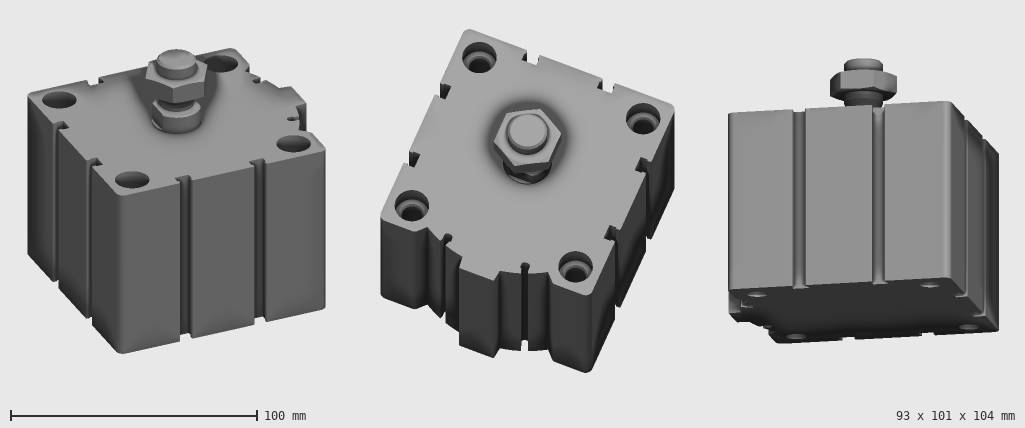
import cadquery as cq
import math


TOTAL_HEIGHT = 104.0
BODY_HEIGHT = 74.0
BODY_WIDTH = 93.0
HALF_WIDTH = BODY_WIDTH / 2
CORNER_RADIUS = 3.0

ARCH_RADIUS = 50.0
RIB_TOP_Y = 54.5
RIB_TOP_WIDTH = 15.2
RIB_BASE_WIDTH = 16.4
NOTCH_BOTTOM_X = 26.5
NOTCH_SHOULDER_X = 30.4
SHOULDER_RADIUS = 2.0

GROOVE_OUTER_X = 18.8
GROOVE_INNER_X = 15.2
GROOVE_FLOOR_Y = 41.9
GROOVE_LIP_X = 15.8
GROOVE_LIP_Y = 44.9
GROOVE_NECK_LEAN = 18.0
GROOVE_FLOOR_RADIUS = 1.4

SLOT_OFFSET = 16.5
SLOT_NECK_WIDTH = 5.3
SLOT_MOUTH_CHAMFER = 0.3
SLOT_INNER_WIDTH = 6.5
SLOT_DEPTH = 4.9
SLOT_LIP = 1.8

HOLE_SPACING = 72.0
HOLE_DIAMETER = 8.5
HOLE_MOUTH_DIAMETER = 10.0
COUNTERBORE_DIAMETER = 14.0
COUNTERBORE_DEPTH = 8.9

ROD_LENGTH = TOTAL_HEIGHT - BODY_HEIGHT
COLLAR_DIAMETER = 20.0
COLLAR_HEIGHT = 8.0
COLLAR_CHAMFER = 0.4
FLATS_WIDTH = 17.0
FLATS_BOTTOM = 0.8
THREAD_DIAMETER = 16.0
THREAD_BOTTOM = 13.0
THREAD_CHAMFER = 0.9
RELIEF_DIAMETER = 13.9
RELIEF_TOP = 10.2
RELIEF_BOTTOM = 8.6

NUT_FLATS = 24.0
NUT_HEIGHT = 8.0
NUT_BOTTOM = 16.0
NUT_CHAMFER_DIAMETER = 23.6
NUT_CHAMFER_ANGLE = 15.0


def body_outline():
    """Sharp-cornered square whose +Y side is an arch with a rib and two V notches."""
    notch_bottom_y = math.sqrt(ARCH_RADIUS**2 - NOTCH_BOTTOM_X**2)
    rib_base_y = math.sqrt(ARCH_RADIUS**2 - (RIB_BASE_WIDTH / 2) ** 2)
    arch_mid_x = (NOTCH_BOTTOM_X + RIB_BASE_WIDTH / 2) / 2
    arch_mid_y = math.sqrt(ARCH_RADIUS**2 - arch_mid_x**2)
    return (
        cq.Workplane("XY")
        .moveTo(-HALF_WIDTH, -HALF_WIDTH)
        .lineTo(HALF_WIDTH, -HALF_WIDTH)
        .lineTo(HALF_WIDTH, HALF_WIDTH)
        .lineTo(NOTCH_SHOULDER_X, HALF_WIDTH)
        .lineTo(NOTCH_BOTTOM_X, notch_bottom_y)
        .threePointArc((arch_mid_x, arch_mid_y), (RIB_BASE_WIDTH / 2, rib_base_y))
        .lineTo(RIB_TOP_WIDTH / 2, RIB_TOP_Y)
        .lineTo(-RIB_TOP_WIDTH / 2, RIB_TOP_Y)
        .lineTo(-RIB_BASE_WIDTH / 2, rib_base_y)
        .threePointArc((-arch_mid_x, arch_mid_y), (-NOTCH_BOTTOM_X, notch_bottom_y))
        .lineTo(-NOTCH_SHOULDER_X, HALF_WIDTH)
        .lineTo(-HALF_WIDTH, HALF_WIDTH)
        .close()
    )


def round_upright_edge(solid, x, y, radius):
    """Fillet the vertical edge that stands at (x, y)."""
    nearest = cq.selectors.NearestToPointSelector((x, y, BODY_HEIGHT / 2))
    return solid.edges("|Z").edges(nearest).fillet(radius)


def body_block():
    """Extruded outline with the four corners and the two notch shoulders rounded."""
    block = body_outline().extrude(BODY_HEIGHT)
    for x in (-HALF_WIDTH, HALF_WIDTH):
        for y in (-HALF_WIDTH, HALF_WIDTH):
            block = round_upright_edge(block, x, y, CORNER_RADIUS)
    for x in (-NOTCH_SHOULDER_X, NOTCH_SHOULDER_X):
        block = round_upright_edge(block, x, HALF_WIDTH, SHOULDER_RADIUS)
    return block


def sensor_groove():
    """Groove in the arch at +X with a leaning neck, undercut behind a lip on the side toward the rib."""
    neck_shift = (RIB_TOP_Y - GROOVE_LIP_Y) * math.tan(math.radians(GROOVE_NECK_LEAN))
    return (
        cq.Workplane("XY")
        .moveTo(GROOVE_OUTER_X, GROOVE_FLOOR_Y)
        .lineTo(GROOVE_OUTER_X, GROOVE_LIP_Y)
        .lineTo(GROOVE_OUTER_X + neck_shift, RIB_TOP_Y)
        .lineTo(GROOVE_LIP_X + neck_shift, RIB_TOP_Y)
        .lineTo(GROOVE_LIP_X, GROOVE_LIP_Y)
        .lineTo(GROOVE_INNER_X, GROOVE_LIP_Y)
        .lineTo(GROOVE_INNER_X, GROOVE_FLOOR_Y)
        .close()
        .extrude(BODY_HEIGHT)
        .edges("|Z and <Y")
        .fillet(GROOVE_FLOOR_RADIUS)
    )


def t_slot(offset):
    """Full-height T-slot with a chamfered mouth in the -Y side, centred at X = offset."""
    neck_half = SLOT_NECK_WIDTH / 2
    mouth_half = neck_half + SLOT_MOUTH_CHAMFER
    inner_half = SLOT_INNER_WIDTH / 2
    half_profile = [
        (mouth_half, 0),
        (neck_half, SLOT_MOUTH_CHAMFER),
        (neck_half, SLOT_LIP),
        (inner_half, SLOT_LIP),
        (inner_half, SLOT_DEPTH),
    ]
    mirrored_half = [(-x, y) for x, y in reversed(half_profile)]
    slot = cq.Workplane("XY").polyline(half_profile + mirrored_half).close().extrude(BODY_HEIGHT)
    return slot.translate((offset, -HALF_WIDTH, 0))


def mounting_hole():
    """Through hole with a counterbore at the top and a chamfered mouth in the counterbore floor."""
    through_radius = HOLE_DIAMETER / 2
    mouth_radius = HOLE_MOUTH_DIAMETER / 2
    bore_radius = COUNTERBORE_DIAMETER / 2
    mouth_depth = mouth_radius - through_radius
    floor_z = BODY_HEIGHT - COUNTERBORE_DEPTH
    return (
        cq.Workplane("XZ")
        .moveTo(0, 0)
        .lineTo(through_radius, 0)
        .lineTo(through_radius, floor_z - mouth_depth)
        .lineTo(mouth_radius, floor_z)
        .lineTo(bore_radius, floor_z)
        .lineTo(bore_radius, BODY_HEIGHT)
        .lineTo(0, BODY_HEIGHT)
        .close()
        .revolve(360, (0, 0), (0, 1))
    )


def make_body():
    body = body_block()
    groove = sensor_groove()
    body = body.cut(groove).cut(groove.mirror("YZ"))
    for side_angle in (-90, 0, 90):
        for offset in (-SLOT_OFFSET, SLOT_OFFSET):
            body = body.cut(t_slot(offset).rotate((0, 0, 0), (0, 0, 1), side_angle))
    hole = mounting_hole()
    for sx in (-1, 1):
        for sy in (-1, 1):
            body = body.cut(hole.translate((sx * HOLE_SPACING / 2, sy * HOLE_SPACING / 2, 0)))
    return body


def make_rod():
    """Collar with two wrench flats, waisted thread relief and chamfered thread."""
    collar_radius = COLLAR_DIAMETER / 2
    thread_radius = THREAD_DIAMETER / 2
    relief_radius = RELIEF_DIAMETER / 2
    rod = (
        cq.Workplane("XZ")
        .moveTo(0, 0)
        .lineTo(collar_radius, 0)
        .lineTo(collar_radius, COLLAR_HEIGHT - COLLAR_CHAMFER)
        .lineTo(collar_radius - COLLAR_CHAMFER, COLLAR_HEIGHT)
        .lineTo(thread_radius, COLLAR_HEIGHT)
        .lineTo(relief_radius, RELIEF_BOTTOM)
        .lineTo(relief_radius, RELIEF_TOP)
        .lineTo(thread_radius, THREAD_BOTTOM)
        .lineTo(thread_radius, ROD_LENGTH - THREAD_CHAMFER)
        .lineTo(thread_radius - THREAD_CHAMFER, ROD_LENGTH)
        .lineTo(0, ROD_LENGTH)
        .close()
        .revolve(360, (0, 0), (0, 1))
    )
    flat_cut_height = COLLAR_HEIGHT - FLATS_BOTTOM
    for side in (-1, 1):
        flat_cut = (
            cq.Workplane("XY")
            .box(COLLAR_DIAMETER, COLLAR_DIAMETER, flat_cut_height, centered=(True, True, False))
            .translate((0, side * (FLATS_WIDTH + COLLAR_DIAMETER) / 2, FLATS_BOTTOM))
        )
        rod = rod.cut(flat_cut)
    return rod.translate((0, 0, BODY_HEIGHT))


def make_nut():
    """Hex nut with two flats facing -X and +X and conical chamfers on both faces."""
    corner_radius = NUT_FLATS / math.sqrt(3)
    chamfer_radius = NUT_CHAMFER_DIAMETER / 2
    chamfer_drop = (corner_radius - chamfer_radius) * math.tan(math.radians(NUT_CHAMFER_ANGLE))
    hexagon = (
        cq.Workplane("XY")
        .polygon(6, 2 * corner_radius)
        .extrude(NUT_HEIGHT)
        .rotate((0, 0, 0), (0, 0, 1), 90)
    )
    chamfer_envelope = (
        cq.Workplane("XZ")
        .moveTo(0, 0)
        .lineTo(chamfer_radius, 0)
        .lineTo(corner_radius, chamfer_drop)
        .lineTo(corner_radius, NUT_HEIGHT - chamfer_drop)
        .lineTo(chamfer_radius, NUT_HEIGHT)
        .lineTo(0, NUT_HEIGHT)
        .close()
        .revolve(360, (0, 0), (0, 1))
    )
    bore = cq.Workplane("XY").circle(THREAD_DIAMETER / 2).extrude(NUT_HEIGHT)
    nut = hexagon.intersect(chamfer_envelope).cut(bore)
    return nut.translate((0, 0, BODY_HEIGHT + NUT_BOTTOM))


body = make_body()
rod = make_rod()
nut = make_nut()

result = cq.Compound.makeCompound([body.val(), rod.val(), nut.val()])